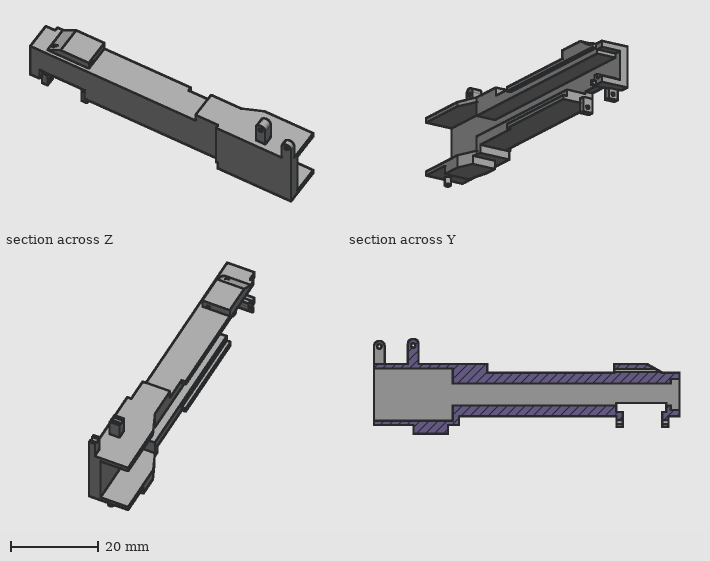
import cadquery as cq

LENGTH = 70.0
DEPTH = 10.0
FRAME_FRONT = 1.0
FRAME_BACK = 8.0
FRAME_BOTTOM = 4.0
FRAME_TOP = 14.0
WEB_BACK = 3.0

FLANGE = 1.5
FLANGE_THICK = 2.5
MOUTH_DEPTH = 2.0
STEP_X = 2.5
LIP_BACK = 9.0
LIP_HEIGHT = 1.0
LIP_END = 38.0

NOTCH_END = 14.5
NOTCH_TOP = 7.0
STRIP = 0.6
FOOT_WIDTH = 1.5
FOOT_BOTTOM = 1.5
FOOT_TOP = 5.0
FOOT_FRONT = 2.0
FOOT_BACK = 4.5
FOOT_HOLE = 0.8
FOOT_HOLE_Y = 3.3
FOOT_HOLE_Z = 2.7

PAD_START = 4.0
PAD_RAMP_END = 7.5
PAD_END = 15.0
PAD_TOP = 16.0
PAD_FRONT = FOOT_FRONT
PAD_HOLE = 0.75
PAD_HOLE_Y = 3.5
PAD_HOLE_Z = 14.5

HEAD_TOP = 16.0
HEAD_BOTTOM = 2.0
SHOULDER_X = 44.0
PLATE_X = 50.0
SKIRT_X = 50.5
FLARE_START = 52.0
FLARE_END = 57.0
HEAD_ROOF = 1.1
HEAD_FLOOR = 1.0

RIB_START = 53.0
RIB_BEND = 56.6
RIB_END = 62.1
RIB_FRONT = 2.3
RIB_END_FRONT = 3.5
PIN_X = 68.5
PIN_Y = 5.0
PIN_DIAMETER = 1.5
PIN_CHAMFER = 0.3

LUG_WIDTH = 2.5
LUG_HOLE = 1.0
INNER_LUG_X = 61.0
INNER_LUG_TOP = 21.75
INNER_LUG_HOLE_Z = 20.25
INNER_LUG_FRONT = 1.5
INNER_LUG_BACK = 4.0
END_LUG_X = LENGTH - LUG_WIDTH / 2
END_LUG_TOP = 21.25
END_LUG_HOLE_Z = 20.0
END_LUG_FRONT = 0.0
END_LUG_BACK = 1.5


def box(x_range, y_range, z_range):
    """Axis-aligned box between the given limits."""
    sizes = [high - low for low, high in (x_range, y_range, z_range)]
    corner = (x_range[0], y_range[0], z_range[0])
    return cq.Workplane("XY").box(*sizes, centered=False).translate(corner)


def prism_up(points, bottom, top):
    """Extrude an XY outline between two heights."""
    return cq.Workplane("XY").workplane(offset=bottom).polyline(points).close().extrude(top - bottom)


def cylinder_along_x(x_range, y, z, diameter):
    plane = cq.Workplane("YZ", origin=(x_range[0], y, z))
    return plane.circle(diameter / 2).extrude(x_range[1] - x_range[0])


def flare_back(x):
    """Y of the sloping rear edge of the head at a given X."""
    return FRAME_BACK + (DEPTH - FRAME_BACK) * (x - FLARE_START) / (FLARE_END - FLARE_START)


def make_channel():
    """C-section channel, open to the rear, with lips along its back edges."""
    channel = box((0, PLATE_X), (FRAME_FRONT, FRAME_BACK), (FRAME_BOTTOM, FRAME_TOP))
    for z_range in (
        (FRAME_BOTTOM, FRAME_BOTTOM + LIP_HEIGHT),
        (FRAME_TOP - LIP_HEIGHT, FRAME_TOP),
    ):
        channel = channel.union(box((STEP_X, LIP_END), (FRAME_BACK, LIP_BACK), z_range))
    return channel


def make_head():
    """Tall end block with a flared rear and a proud front plate."""
    outline = [
        (SHOULDER_X, FRAME_FRONT),
        (LENGTH, FRAME_FRONT),
        (LENGTH, DEPTH),
        (FLARE_END, DEPTH),
        (FLARE_START, FRAME_BACK),
        (SHOULDER_X, FRAME_BACK),
    ]
    head = prism_up(outline, HEAD_BOTTOM, HEAD_TOP)
    head = head.cut(box((SHOULDER_X, SKIRT_X), (0, DEPTH), (HEAD_BOTTOM, FRAME_BOTTOM)))
    head = head.union(box((PLATE_X, LENGTH), (0, FRAME_FRONT), (FRAME_BOTTOM, HEAD_TOP)))
    head = head.union(box((SKIRT_X, LENGTH), (0, FRAME_FRONT), (HEAD_BOTTOM, FRAME_BOTTOM)))
    return head


def make_interior():
    """Space removed from the rear: wide at the free end, narrower along the channel, tall in the head."""
    y_range = (WEB_BACK, DEPTH)
    mouth = box((0, MOUTH_DEPTH), y_range, (FRAME_BOTTOM + FLANGE, FRAME_TOP - FLANGE))
    tunnel = box((0, LENGTH), y_range, (FRAME_BOTTOM + FLANGE_THICK, FRAME_TOP - FLANGE_THICK))
    head_room = box((FLARE_START, LENGTH), y_range, (HEAD_BOTTOM + HEAD_FLOOR, HEAD_TOP - HEAD_ROOF))
    return mouth.union(tunnel).union(head_room)


def make_notch():
    """Opening through the web and lower flange, leaving a thin strip behind its left edge."""
    z_range = (FRAME_BOTTOM, NOTCH_TOP)
    front = box((STEP_X, NOTCH_END), (FRAME_FRONT, FOOT_FRONT), z_range)
    rear = box((STEP_X + STRIP, NOTCH_END), (FOOT_FRONT, LIP_BACK), z_range)
    return front.union(rear)


def make_foot(x_start):
    x_range = (x_start, x_start + FOOT_WIDTH)
    foot = box(x_range, (FOOT_FRONT, FOOT_BACK), (FOOT_BOTTOM, FOOT_TOP))
    return foot.cut(cylinder_along_x(x_range, FOOT_HOLE_Y, FOOT_HOLE_Z, FOOT_HOLE))


def make_pad():
    """Raised pad with a ramped end and a lengthwise wire hole."""
    side = [
        (PAD_START, FRAME_TOP),
        (PAD_END, FRAME_TOP),
        (PAD_END, PAD_TOP),
        (PAD_RAMP_END, PAD_TOP),
    ]
    plane = cq.Workplane("XZ", origin=(0, PAD_FRONT, 0))
    pad = plane.polyline(side).close().extrude(PAD_FRONT - LIP_BACK)
    return pad.cut(cylinder_along_x((PAD_START, PAD_END), PAD_HOLE_Y, PAD_HOLE_Z, PAD_HOLE))


def make_rib():
    """Rib under the head that follows the flared rear edge."""
    outline = [
        (RIB_START, RIB_FRONT),
        (RIB_BEND, RIB_FRONT),
        (RIB_END, RIB_END_FRONT),
        (RIB_END, DEPTH),
        (FLARE_END, DEPTH),
        (RIB_START, flare_back(RIB_START)),
    ]
    return prism_up(outline, 0, HEAD_BOTTOM)


def make_pin():
    pin = cq.Workplane("XY", origin=(PIN_X, PIN_Y, 0)).circle(PIN_DIAMETER / 2).extrude(HEAD_BOTTOM)
    return pin.faces("<Z").chamfer(PIN_CHAMFER)


def make_lug(x, top, hole_z, front, back):
    """Upright lug with a rounded top and a cross hole."""
    radius = LUG_WIDTH / 2
    center_z = top - radius
    lug = (
        cq.Workplane("XZ", origin=(x, front, 0))
        .moveTo(-radius, HEAD_TOP)
        .lineTo(radius, HEAD_TOP)
        .lineTo(radius, center_z)
        .threePointArc((0, top), (-radius, center_z))
        .close()
        .extrude(front - back)
    )
    hole = cq.Workplane("XZ", origin=(x, front, hole_z)).circle(LUG_HOLE / 2).extrude(front - back)
    return lug.cut(hole)


result = make_channel().union(make_head()).cut(make_interior()).cut(make_notch())
for foot_start in (STEP_X, NOTCH_END - FOOT_WIDTH):
    result = result.union(make_foot(foot_start))
result = result.union(make_pad())
result = result.union(make_rib())
result = result.union(make_pin())
result = result.union(make_lug(INNER_LUG_X, INNER_LUG_TOP, INNER_LUG_HOLE_Z, INNER_LUG_FRONT, INNER_LUG_BACK))
result = result.union(make_lug(END_LUG_X, END_LUG_TOP, END_LUG_HOLE_Z, END_LUG_FRONT, END_LUG_BACK))